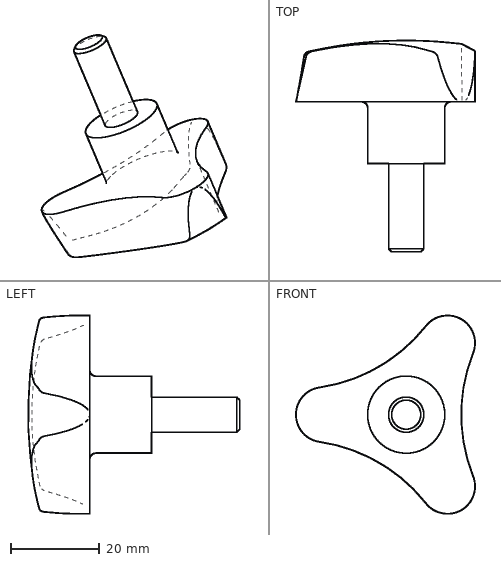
import cadquery as cq
import math


LOBE_COUNT = 3
LOBE_PITCH = 360 / LOBE_COUNT
HEAD_RADIUS = 25.0
LOBE_RADIUS = 6.25
LOBE_CENTER = HEAD_RADIUS - LOBE_RADIUS
WAIST_RADIUS = 12.5
FIRST_LOBE_ANGLE = 180.0

HEAD_HEIGHT = 14.0
DOME_RADIUS = 97.0
TIP_DRAFT = 10.0
CROWN_FILLET = 1.5

HUB_RADIUS = 8.75
HUB_LENGTH = 14.0
HUB_FILLET = 1.4
STUD_RADIUS = 4.0
STUD_LENGTH = 20.0
STUD_CHAMFER = 0.7


def polar(radius, angle):
    """Point at a radius and an angle in degrees, seen along the axis."""
    return (
        radius * math.cos(math.radians(angle)),
        radius * math.sin(math.radians(angle)),
    )


def hollow_center_distance():
    """Distance from the axis to the center of a hollow-side arc.

    The arc passes through the waist point and is tangent to both
    neighboring lobe arcs.
    """
    half_pitch = math.radians(LOBE_PITCH / 2)
    gap = WAIST_RADIUS - LOBE_RADIUS
    return (LOBE_CENTER**2 - gap**2) / (2 * (LOBE_CENTER * math.cos(half_pitch) - gap))


def tangent_point(lobe_angle, hollow_angle):
    """Point where a lobe arc runs into a hollow-side arc."""
    lobe_x, lobe_z = polar(LOBE_CENTER, lobe_angle)
    hollow_x, hollow_z = polar(hollow_center_distance(), hollow_angle)
    share = LOBE_RADIUS / math.hypot(hollow_x - lobe_x, hollow_z - lobe_z)
    return (
        lobe_x + share * (hollow_x - lobe_x),
        lobe_z + share * (hollow_z - lobe_z),
    )


def head_prism():
    """Lobed outline extruded along +Y to the full head height."""
    half_pitch = LOBE_PITCH / 2
    start = tangent_point(FIRST_LOBE_ANGLE, FIRST_LOBE_ANGLE - half_pitch)
    outline = cq.Workplane("XZ").moveTo(*start)
    for index in range(LOBE_COUNT):
        lobe = FIRST_LOBE_ANGLE + index * LOBE_PITCH
        hollow = lobe + half_pitch
        next_lobe = lobe + LOBE_PITCH
        outline = outline.threePointArc(polar(HEAD_RADIUS, lobe), tangent_point(lobe, hollow))
        outline = outline.threePointArc(polar(WAIST_RADIUS, hollow), tangent_point(next_lobe, hollow))
    return outline.close().extrude(-HEAD_HEIGHT)


def crown_envelope():
    """Domed, drafted round body that bounds the top and the tips of the head."""
    draft = math.tan(math.radians(TIP_DRAFT))
    cone = (
        cq.Workplane("XY")
        .lineTo(HEAD_RADIUS, 0)
        .lineTo(HEAD_RADIUS - HEAD_HEIGHT * draft, HEAD_HEIGHT)
        .lineTo(0, HEAD_HEIGHT)
        .close()
        .revolve(360, (0, 0), (0, 1))
    )
    dome = cq.Workplane("XY").sphere(DOME_RADIUS).translate((0, HEAD_HEIGHT - DOME_RADIUS, 0))
    return cone.intersect(dome).faces(">Y").edges("%CIRCLE").fillet(CROWN_FILLET)


def hub_and_stud():
    """Hub with its flared root, and the chamfered stud, as one turned body."""
    stud_end = -HUB_LENGTH - STUD_LENGTH
    fillet_center = (HUB_RADIUS + HUB_FILLET, -HUB_FILLET)
    fillet_reach = HUB_FILLET * math.sqrt(0.5)
    fillet_middle = (fillet_center[0] - fillet_reach, fillet_center[1] + fillet_reach)
    return (
        cq.Workplane("XY")
        .lineTo(HUB_RADIUS + HUB_FILLET, 0)
        .threePointArc(fillet_middle, (HUB_RADIUS, -HUB_FILLET))
        .lineTo(HUB_RADIUS, -HUB_LENGTH)
        .lineTo(STUD_RADIUS, -HUB_LENGTH)
        .lineTo(STUD_RADIUS, stud_end + STUD_CHAMFER)
        .lineTo(STUD_RADIUS - STUD_CHAMFER, stud_end)
        .lineTo(0, stud_end)
        .close()
        .revolve(360, (0, 0), (0, 1))
    )


head = head_prism().intersect(crown_envelope())
result = head.union(hub_and_stud())